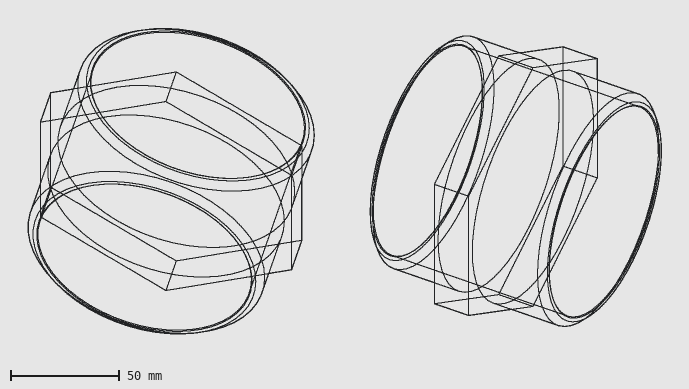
import cadquery as cq

length = 94.0
hex_across_corners = 138.5
hex_width = 18.2
body_diameter = 113.0
bore_diameter = 102.0
end_chamfer = 3.3
bore_chamfer = 0.4

def along_y(thickness):
    """Workplane from which an extrusion of this thickness is centred on the XZ plane."""
    return cq.Workplane("XZ", origin=(0, thickness / 2, 0))


def make_body():
    """Cylindrical sleeve blank with both outer ends chamfered."""
    body = along_y(length).circle(body_diameter / 2).extrude(length)
    return body.faces("<Y or >Y").edges().chamfer(end_chamfer)


def make_hex_collar():
    """Central hexagon with corners on the Z axis and flats facing +X and -X."""
    collar = along_y(hex_width).polygon(6, hex_across_corners).extrude(hex_width)
    return collar.rotate((0, 0, 0), (0, 1, 0), 90)


def make_bore():
    """Straight through bore that flares outward at both mouths."""
    bore = along_y(length).circle(bore_diameter / 2).extrude(length)
    mouth_radius = bore_diameter / 2 + bore_chamfer
    for end_y, inward in ((-length / 2, 1), (length / 2, -1)):
        flare = cq.Solid.makeCone(
            mouth_radius,
            bore_diameter / 2,
            bore_chamfer,
            pnt=cq.Vector(0, end_y, 0),
            dir=cq.Vector(0, inward, 0),
        )
        bore = bore.union(cq.Workplane(flare))
    return bore


result = make_body().union(make_hex_collar()).cut(make_bore())